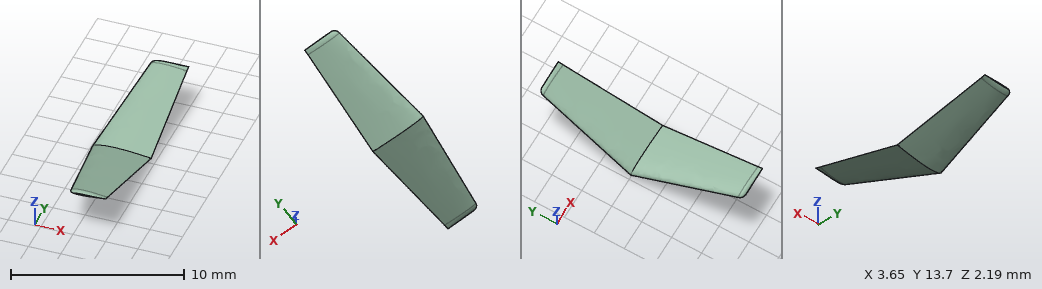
import cadquery as cq
import math

span = 13.65
root_chord = 3.65
tip_chord = 2.27
tip_sweep = 1.13
cap_length = 0.31
cap_nose_setback = 0.41
cap_end = 0.98
root_nose_height = 0.22
dihedral = 14.9
nose_down = 2.0
thickness_ratio = 0.15

cap_start = span / 2 - cap_length
wing_rise = math.tan(math.radians(dihedral))
chord_rise = math.tan(math.radians(nose_down))

naca_scale = 5.0
naca_terms = [(0.5, 0.2969), (1, -0.126), (2, -0.3516), (3, 0.2843), (4, -0.1015)]
profile_points = 14


def half_thickness(fraction):
    """Half thickness of the symmetric aerofoil, as a fraction of its chord."""
    return naca_scale * thickness_ratio * sum(k * fraction**power for power, k in naca_terms)


def section(y, nose_x, chord, thickness):
    """Closed aerofoil wire at station y; thickness is the chord that sets its depth."""
    nose_z = root_nose_height + wing_rise * y + chord_rise * (nose_x - sweep_at(y))

    def side(sign):
        points = []
        for i in range(profile_points + 1):
            fraction = (i / profile_points) ** 2
            z = nose_z + chord * fraction * chord_rise + sign * thickness * half_thickness(fraction)
            points.append(cq.Vector(nose_x + chord * fraction, y, z))
        return points

    upper = side(1)
    lower = side(-1)
    outline = cq.Edge.makeSpline(upper[::-1] + lower[1:])
    trailing_edge = cq.Edge.makeLine(lower[-1], upper[-1])
    return cq.Wire.assembleEdges([outline, trailing_edge])


def sweep_at(y):
    """Leading edge setback of the straight tapered wing at station y."""
    return tip_sweep * y / cap_start


def make_panel():
    root = section(0, 0, root_chord, root_chord)
    tip = section(cap_start, tip_sweep, tip_chord, tip_chord)
    return cq.Solid.makeLoft([root, tip], True)


def make_cap():
    """Tip cap whose nose and thickness shrink along a quarter ellipse."""
    stations = 6
    end_angle = math.asin(cap_end)
    trailing_x = tip_sweep + tip_chord
    wires = []
    for i in range(stations):
        angle = end_angle * i / (stations - 1)
        y = cap_start + cap_length * math.sin(angle) / cap_end
        nose_x = tip_sweep + cap_nose_setback * (1 - math.cos(angle))
        wires.append(section(y, nose_x, trailing_x - nose_x, tip_chord * math.cos(angle)))
    return cq.Solid.makeLoft(wires, False)


half_wing = cq.Workplane(make_panel()).union(cq.Workplane(make_cap()))
result = half_wing.union(half_wing.mirror("XZ"))